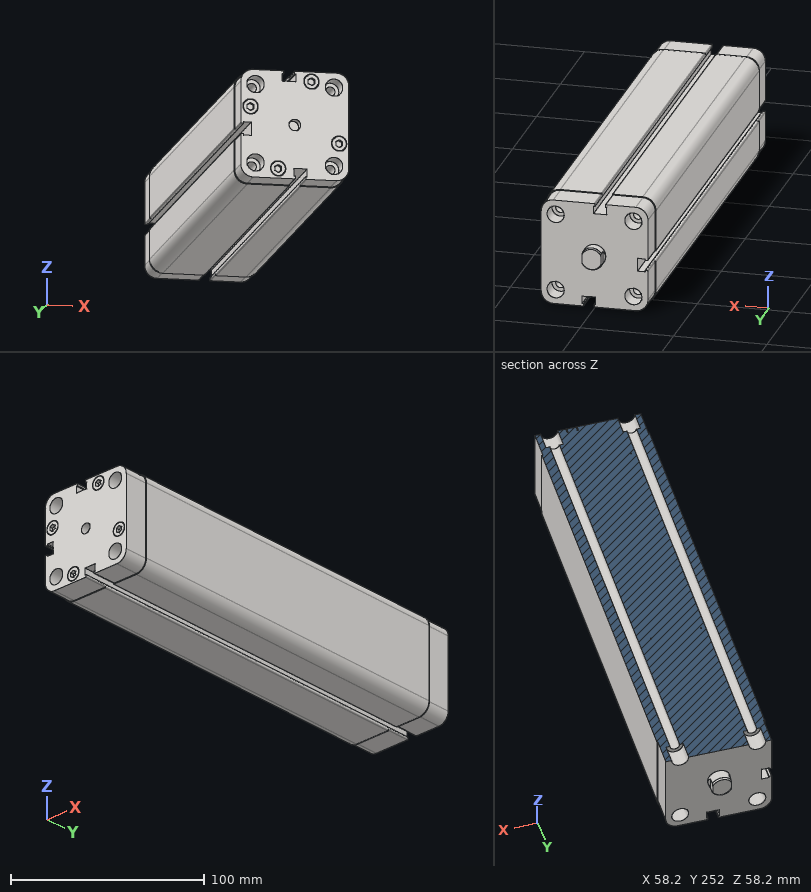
import cadquery as cq
import math

TOTAL_LENGTH = 252
TUBE_WIDTH = 58.2
CAP_WIDTH = 57.2
CAP_LENGTH = 14.9
TUBE_CORNER_RADIUS = 7.0
CAP_CORNER_RADIUS = 6.5

ROD_DIAMETER = 12.0
ROD_LENGTH = 6.3
ROD_FLATS_WIDTH = 10.0
ROD_FLATS_LENGTH = 4.3
ROD_RUNOUT_LENGTH = 1.5
ROD_CHAMFER_LENGTH = 1.0
ROD_CHAMFER_DEPTH = 0.5

SLOT_OFFSET = 3.0
SLOT_OPENING = 5.5
SLOT_EDGE_RADIUS = 0.38
SLOT_INNER_WIDTH = 7.0
SLOT_DEPTH = 6.0
SLOT_LIP = 2.0

MOUNT_PITCH = 41.5
MOUNT_DIAMETER = 5.0
COUNTERBORE_DIAMETER = 9.0
COUNTERBORE_DEPTH = 10.0

SCREW_SIDE_OFFSET = 8.8
SCREW_AXIS_DISTANCE = 23.5
SCREW_HOLE_DIAMETER = 8.0
SCREW_HEAD_DIAMETER = 7.5
SCREW_GAP_DEPTH = 2.5
SOCKET_ACROSS_FLATS = 3.5
SOCKET_DEPTH = 2.0
HEXAGON_TURN = 30

CENTRE_HOLE_DIAMETER = 6.0
CENTRE_HOLE_DEPTH = 5.0

FRONT = -TOTAL_LENGTH / 2
ROD_TIP = TOTAL_LENGTH / 2
REAR = ROD_TIP - ROD_LENGTH
BODY_LENGTH = REAR - FRONT
TUBE_LENGTH = BODY_LENGTH - 2 * CAP_LENGTH


def section_at(y):
    """Workplane facing -Y at the given Y, with local x = X and local y = Z."""
    return cq.Workplane("XZ", origin=(0, y, 0))


def make_slot(y_start, length, bar_width):
    """T-slot for the top side of a bar, with rounded edges at its mouth."""
    floor_z = TUBE_WIDTH / 2 - SLOT_DEPTH
    lip_z = TUBE_WIDTH / 2 - SLOT_LIP
    top_z = bar_width / 2
    inner_x = SLOT_INNER_WIDTH / 2
    opening_x = SLOT_OPENING / 2
    mouth_x = opening_x + SLOT_EDGE_RADIUS
    round_z = top_z - SLOT_EDGE_RADIUS
    arc_inset = SLOT_EDGE_RADIUS * (1 - math.sqrt(0.5))
    arc_x = opening_x + arc_inset
    arc_z = top_z - arc_inset
    return (
        section_at(y_start).center(-SLOT_OFFSET, 0)
        .moveTo(-inner_x, floor_z)
        .lineTo(inner_x, floor_z)
        .lineTo(inner_x, lip_z)
        .lineTo(opening_x, lip_z)
        .lineTo(opening_x, round_z)
        .threePointArc((arc_x, arc_z), (mouth_x, top_z))
        .lineTo(-mouth_x, top_z)
        .threePointArc((-arc_x, arc_z), (-opening_x, round_z))
        .lineTo(-opening_x, lip_z)
        .lineTo(-inner_x, lip_z)
        .close()
        .extrude(-length)
    )


def slotted_bar(y_start, length, width, corner_radius):
    """Square bar with rounded long edges and T-slots, running towards +Y."""
    bar = section_at(y_start).rect(width, width).extrude(-length).edges("|Y").fillet(corner_radius)
    slot = make_slot(y_start, length, width)
    for turn in (0, 180, -90):
        bar = bar.cut(slot.rotate((0, 0, 0), (0, 1, 0), turn))
    return bar


def make_body():
    """Profile tube between two slightly narrower end caps."""
    tube = slotted_bar(FRONT + CAP_LENGTH, TUBE_LENGTH, TUBE_WIDTH, TUBE_CORNER_RADIUS)
    front_cap = slotted_bar(FRONT, CAP_LENGTH, CAP_WIDTH, CAP_CORNER_RADIUS)
    rear_cap = slotted_bar(REAR - CAP_LENGTH, CAP_LENGTH, CAP_WIDTH, CAP_CORNER_RADIUS)
    return tube.union(front_cap).union(rear_cap)


def make_rod_end():
    """Chamfered rod end with two wrench flats facing -X and +X."""
    rod = section_at(REAR).circle(ROD_DIAMETER / 2).extrude(-ROD_LENGTH)
    rod = rod.faces(">Y").chamfer(ROD_CHAMFER_LENGTH, ROD_CHAMFER_DEPTH)
    flat_x = ROD_FLATS_WIDTH / 2
    surface_x = ROD_DIAMETER / 2
    flat_end = ROD_TIP - ROD_FLATS_LENGTH
    flat_cut = (
        cq.Workplane("XY")
        .moveTo(flat_x, ROD_TIP)
        .lineTo(flat_x, flat_end)
        .lineTo(surface_x, flat_end - ROD_RUNOUT_LENGTH)
        .lineTo(surface_x, ROD_TIP)
        .close()
        .extrude(ROD_DIAMETER / 2, both=True)
    )
    return rod.cut(flat_cut).cut(flat_cut.mirror("YZ"))


def make_mounting_holes():
    """Through holes at the four corners, counterbored at both ends."""

    def drill(y, diameter, length):
        corners = section_at(y).rect(MOUNT_PITCH, MOUNT_PITCH, forConstruction=True).vertices()
        return corners.circle(diameter / 2).extrude(-length)

    holes = drill(FRONT, MOUNT_DIAMETER, BODY_LENGTH)
    front_bores = drill(FRONT, COUNTERBORE_DIAMETER, COUNTERBORE_DEPTH)
    rear_bores = drill(REAR - COUNTERBORE_DEPTH, COUNTERBORE_DIAMETER, COUNTERBORE_DEPTH)
    return holes.union(front_bores).union(rear_bores)


def make_screw_recess(x, z):
    """Gap around a cap screw head and its hexagon socket, corners towards +Z and -Z."""
    axis = section_at(FRONT).center(x, z)
    gap = axis.circle(SCREW_HOLE_DIAMETER / 2).circle(SCREW_HEAD_DIAMETER / 2).extrude(-SCREW_GAP_DEPTH)
    across_corners = SOCKET_ACROSS_FLATS / math.cos(math.pi / 6)
    hexagon = section_at(FRONT).polygon(6, across_corners).extrude(-SOCKET_DEPTH)
    socket = hexagon.rotate((0, 0, 0), (0, 1, 0), HEXAGON_TURN).translate((x, 0, z))
    return gap.union(socket)


result = make_body().union(make_rod_end())
for quarter in range(4):
    turn = quarter * math.pi / 2
    screw_x = SCREW_SIDE_OFFSET * math.cos(turn) - SCREW_AXIS_DISTANCE * math.sin(turn)
    screw_z = SCREW_SIDE_OFFSET * math.sin(turn) + SCREW_AXIS_DISTANCE * math.cos(turn)
    result = result.cut(make_screw_recess(screw_x, screw_z))
result = result.cut(make_mounting_holes())
result = result.cut(section_at(FRONT).circle(CENTRE_HOLE_DIAMETER / 2).extrude(-CENTRE_HOLE_DEPTH))